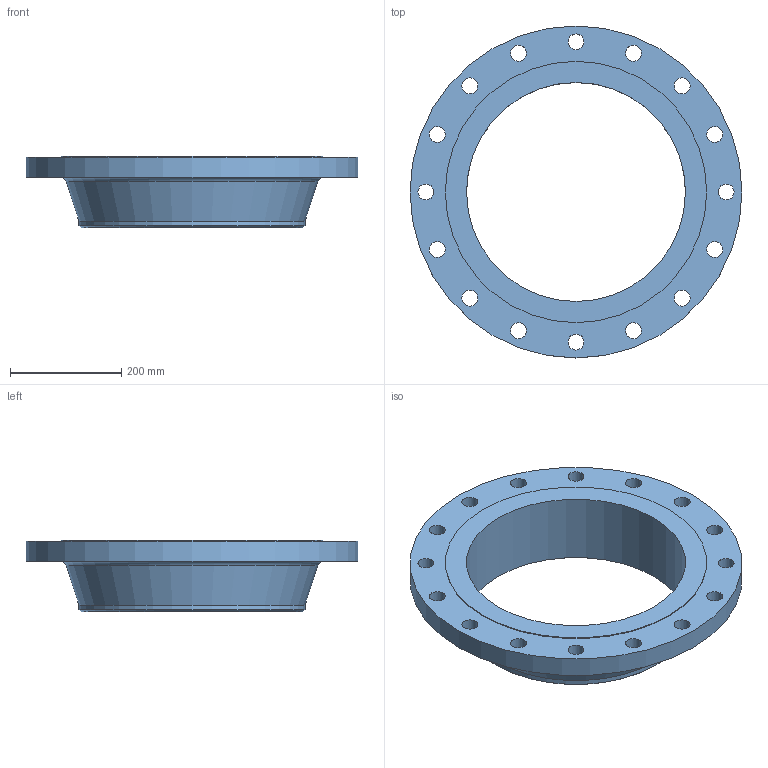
import cadquery as cq
import math

flange_diameter = 596.9
flange_thickness = 36.6
raised_face_diameter = 469.9
raised_face_height = 1.59
overall_height = 128.59

bolt_circle_diameter = 539.8
bolt_hole_diameter = 28.6
bolt_hole_count = 16

hub_base_diameter = 457.2
weld_end_diameter = 406.4
bore_diameter = 393.7
hub_fillet_radius = 10.0
weld_neck_length = 12.0
weld_land_width = 1.6
weld_bevel_angle = 37.5

weld_end_z = 0.0
face_z = weld_end_z + overall_height
flange_top_z = face_z - raised_face_height
flange_bottom_z = flange_top_z - flange_thickness
neck_top_z = weld_end_z + weld_neck_length

flange_radius = flange_diameter / 2
raised_face_radius = raised_face_diameter / 2
hub_base_radius = hub_base_diameter / 2
weld_end_radius = weld_end_diameter / 2
bore_radius = bore_diameter / 2
land_radius = bore_radius + weld_land_width
bevel_height = (weld_end_radius - land_radius) * math.tan(math.radians(weld_bevel_angle))

hub_taper_angle = math.atan2(hub_base_radius - weld_end_radius, flange_bottom_z - neck_top_z)
hub_corner_angle = math.pi / 2 + hub_taper_angle
fillet_tangent_length = hub_fillet_radius / math.tan(hub_corner_angle / 2)
fillet_center_radius = hub_base_radius + fillet_tangent_length
fillet_center_z = flange_bottom_z - hub_fillet_radius
fillet_hub_radius = hub_base_radius - fillet_tangent_length * math.sin(hub_taper_angle)
fillet_hub_z = flange_bottom_z - fillet_tangent_length * math.cos(hub_taper_angle)
fillet_mid_angle = math.pi / 2 + (math.pi - hub_corner_angle) / 2
fillet_mid_radius = fillet_center_radius + hub_fillet_radius * math.cos(fillet_mid_angle)
fillet_mid_z = fillet_center_z + hub_fillet_radius * math.sin(fillet_mid_angle)


def make_flange_body():
    """Revolve the half section (radius, height) about the Z axis."""
    section = (
        cq.Workplane("XZ")
        .moveTo(bore_radius, weld_end_z)
        .lineTo(land_radius, weld_end_z)
        .lineTo(weld_end_radius, weld_end_z + bevel_height)
        .lineTo(weld_end_radius, neck_top_z)
        .lineTo(fillet_hub_radius, fillet_hub_z)
        .threePointArc((fillet_mid_radius, fillet_mid_z), (fillet_center_radius, flange_bottom_z))
        .lineTo(flange_radius, flange_bottom_z)
        .lineTo(flange_radius, flange_top_z)
        .lineTo(raised_face_radius, flange_top_z)
        .lineTo(raised_face_radius, face_z)
        .lineTo(bore_radius, face_z)
        .close()
    )
    return section.revolve(360, (0, 0, 0), (0, 1, 0))


def make_bolt_holes():
    """Ring of through holes, the first one on the +X axis."""
    return (
        cq.Workplane("XY", origin=(0, 0, flange_bottom_z))
        .polarArray(bolt_circle_diameter / 2, 0, 360, bolt_hole_count)
        .circle(bolt_hole_diameter / 2)
        .extrude(flange_top_z - flange_bottom_z)
    )


result = make_flange_body().cut(make_bolt_holes())